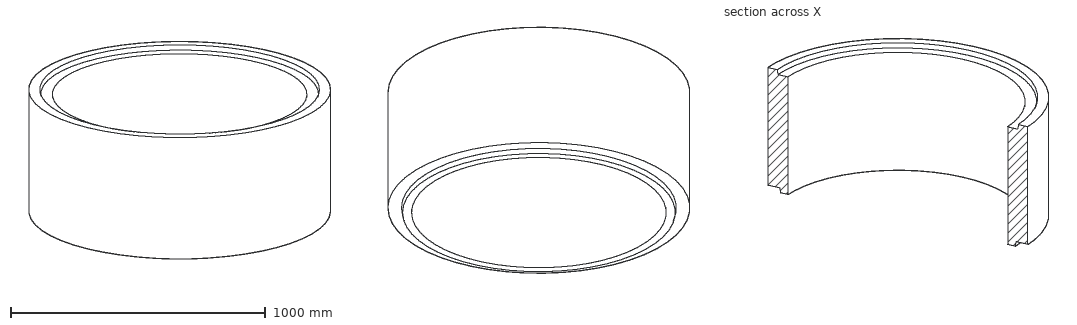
import cadquery as cq

outer_diameter = 1186.0
bore_diameter = 1000.0
total_height = 523.0

spigot_height = 20.0
spigot_root_diameter = 1079.0
spigot_tip_diameter = 1071.0

socket_depth = spigot_height
socket_mouth_diameter = 1098.0
socket_floor_diameter = 1091.0

outer_radius = outer_diameter / 2
bore_radius = bore_diameter / 2
socket_floor_height = total_height - socket_depth

wall_section = [
    (bore_radius, 0),
    (spigot_tip_diameter / 2, 0),
    (spigot_root_diameter / 2, spigot_height),
    (outer_radius, spigot_height),
    (outer_radius, total_height),
    (socket_mouth_diameter / 2, total_height),
    (socket_floor_diameter / 2, socket_floor_height),
    (bore_radius, socket_floor_height),
]

result = (
    cq.Workplane("XZ")
    .polyline(wall_section)
    .close()
    .revolve(360, (0, 0, 0), (0, 1, 0))
)